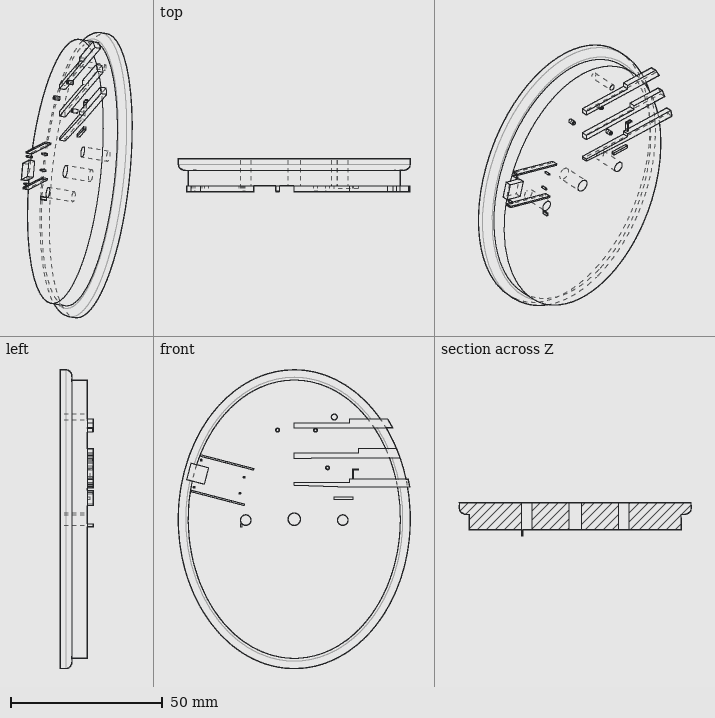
import cadquery as cq

flange_thickness = 4.0
boss_depth = 9.0
rib_height = 2.0
low_rib_height = 0.9

flange_half_width = 76.61 / 2
flange_half_height = 98.64 / 2
boss_half_width = 35.0
boss_half_height = 45.9

rounding_width = 2.5
rounding_depth = 2.0

pivot_hole_diameter = 4.0
side_hole_diameter = 3.4
side_hole_x = 16.0
side_hole_z = -0.3
upper_hole_diameter = 1.86
through_holes = [
    (0, 0, pivot_hole_diameter),
    (-side_hole_x, side_hole_z, side_hole_diameter),
    (side_hole_x, side_hole_z, side_hole_diameter),
    (13.2, 33.7, upper_hole_diameter),
]

rail_start = -0.1
outer_step_x = 18.3
middle_step_x = 21.2
upper_rail = [
    (rail_start, 30.15),
    (rail_start, 31.65),
    (outer_step_x, 31.65),
    (outer_step_x, 33.1),
    (30.8, 33.1),
    (32.5, 30.15),
]
middle_rail = [
    (rail_start, 20.05),
    (rail_start, 21.8),
    (middle_step_x, 21.8),
    (middle_step_x, 23.3),
    (33.8, 23.3),
    (34.9, 20.25),
    (middle_step_x, 20.25),
]
lower_rail_top = 13.2
lower_rail = [
    (rail_start, 11.2),
    (rail_start, 12.05),
    (outer_step_x, 12.05),
    (outer_step_x, lower_rail_top),
    (37.6, lower_rail_top),
    (38.15, 10.57),
    (outer_step_x, 10.57),
]

post_diameter = 1.3
post_centers = [(-5.5, 29.4), (7.0, 29.35), (11.0, 16.95)]

tip_length = 0.3
tip_inset = 0.15

mount_tilt = 14.6
mount_center = (-31.85, 15.0)
block_length = 6.0
block_width = 5.6
guide_start = -0.6
guide_length = 18.1
guide_thickness = 0.5
guide_offset = 6.05
pin_diameter = 0.6
outer_pin_offset = 4.64
inner_pin_offset = 2.75
inner_pin_distance = 15.1

bar_box = (13.15, 19.3, 6.45, 7.3)
hook_left = 19.15
hook_top = 16.5
hook_arm_length = 2.0
hook_arm_thickness = 0.35
hook_stem_thickness = 0.45
hook_stem_box = (hook_left, hook_left + hook_stem_thickness, lower_rail_top, hook_top)
hook_arm_box = (hook_left, hook_left + hook_arm_length, hook_top - hook_arm_thickness, hook_top)
stop_box = (-17.75, -17.3, -2.5, -1.5)


def front_plane(depth):
    """Sketch plane at Y = -depth with x right and z up; extruding goes toward -Y."""
    return cq.Workplane("XZ", origin=(0, -depth, 0))


def make_flange():
    """Round the edge with a circular fillet, then squash along Y so its section is a quarter ellipse."""
    squash = rounding_depth / rounding_width
    flange = (
        front_plane(0)
        .ellipse(flange_half_width, flange_half_height)
        .extrude(flange_thickness / squash)
        .faces("<Y")
        .edges()
        .fillet(rounding_width)
    )
    squash_matrix = cq.Matrix([[1, 0, 0, 0], [0, squash, 0, 0], [0, 0, 1, 0]])
    return cq.Workplane(obj=flange.val().transformGeometry(squash_matrix))


def make_base():
    boss = front_plane(0).ellipse(boss_half_width, boss_half_height).extrude(boss_depth)
    return make_flange().union(boss)


def make_rail(outline):
    return front_plane(boss_depth).polyline(outline).close().extrude(rib_height)


def make_box(limits, height):
    x_min, x_max, z_min, z_max = limits
    return (
        front_plane(boss_depth)
        .center((x_min + x_max) / 2, (z_min + z_max) / 2)
        .rect(x_max - x_min, z_max - z_min)
        .extrude(height)
    )


def make_pin(plane, center, diameter):
    """Round pin with a tapered tip, standing on the given plane."""
    x, z = center
    radius = diameter / 2
    shank = plane.center(x, z).circle(radius).extrude(rib_height - tip_length)
    return (
        shank.faces("<Y")
        .workplane()
        .circle(radius)
        .workplane(offset=tip_length)
        .circle(radius - tip_inset)
        .loft(combine=True)
    )


def make_mount():
    x, z = mount_center
    plane = front_plane(boss_depth).center(x, z).transformed(rotate=(0, 0, -mount_tilt))
    mount = plane.rect(block_length, block_width).extrude(rib_height)
    for side in (-1, 1):
        guide = (
            plane.center(guide_start + guide_length / 2, side * guide_offset)
            .rect(guide_length, guide_thickness)
            .extrude(rib_height)
        )
        outer_pin_center = (0, side * outer_pin_offset)
        inner_pin_center = (inner_pin_distance, side * inner_pin_offset)
        mount = mount.union(guide)
        for center in (outer_pin_center, inner_pin_center):
            mount = mount.union(make_pin(plane, center, pin_diameter))
    return mount


result = make_base()
for outline in (upper_rail, middle_rail, lower_rail):
    result = result.union(make_rail(outline))
for center in post_centers:
    result = result.union(make_pin(front_plane(boss_depth), center, post_diameter))
result = result.union(make_mount())
for limits, height in (
    (bar_box, low_rib_height),
    (hook_stem_box, low_rib_height),
    (hook_arm_box, low_rib_height),
    (stop_box, rib_height),
):
    result = result.union(make_box(limits, height))
for x, z, diameter in through_holes:
    hole = front_plane(0).center(x, z).circle(diameter / 2).extrude(boss_depth)
    result = result.cut(hole)